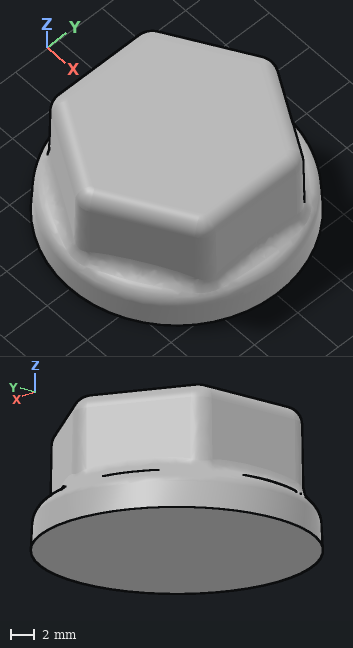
import cadquery as cq
import math

flange_diameter = 24.73
total_height = 11.7
rim_height = 2.32
flange_draft = 3.0
hex_across_flats = 20.08
hex_corner_radius = 1.98
hex_draft = 1.0
blend_radius = 1.5

hidden_arc_end = 150
crest_clearance = 0.25

flange_radius = flange_diameter / 2
flange_draft_angle = math.radians(flange_draft)
rim_radius = flange_radius - rim_height * math.tan(flange_draft_angle)
shoulder_center_radius = rim_radius - blend_radius * math.cos(flange_draft_angle)
shoulder_center_height = rim_height - blend_radius * math.sin(flange_draft_angle)


def shoulder_point(angle_degrees):
    """Point of the shoulder arc, as (radius, height), at an angle above horizontal."""
    angle = math.radians(angle_degrees)
    return (
        shoulder_center_radius + blend_radius * math.cos(angle),
        shoulder_center_height + blend_radius * math.sin(angle),
    )


def make_flange():
    """Drafted round flange; its shoulder arc rolls over the crest and ends inside the hex."""
    arc_middle = shoulder_point(hidden_arc_end / 2)
    arc_end = shoulder_point(hidden_arc_end)
    profile = (
        cq.Workplane("XZ")
        .lineTo(flange_radius, 0)
        .lineTo(rim_radius, rim_height)
        .threePointArc(arc_middle, arc_end)
        .lineTo(0, arc_end[1])
        .close()
    )
    return profile.revolve(360, (0, 0, 0), (0, 1, 0))


def make_hex_head():
    """Drafted hexagon with rounded corners, two of them on the Y axis, and a rounded top edge."""
    core_across_flats = hex_across_flats - 2 * hex_corner_radius
    core_across_corners = core_across_flats / math.cos(math.radians(30))
    head = (
        cq.Workplane("XY")
        .transformed(rotate=(0, 0, 90))
        .polygon(6, core_across_corners)
        .offset2D(hex_corner_radius, "arc")
        .extrude(total_height, taper=hex_draft)
    )
    return head.faces(">Z").edges().fillet(blend_radius)


body = make_flange().union(make_hex_head())

crest_height = shoulder_center_height + blend_radius
seam_zone = cq.selectors.BoxSelector(
    (-flange_radius, -flange_radius, shoulder_center_height + blend_radius / 2),
    (flange_radius, flange_radius, crest_height + crest_clearance),
    boundingbox=True,
)
result = body.edges(seam_zone).fillet(blend_radius)